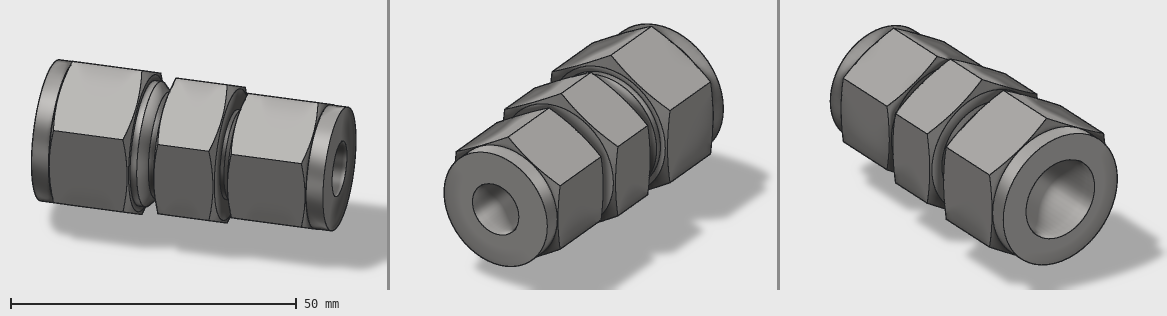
import cadquery as cq
import math

total_length = 52.5
bore_diameter = 9.8
socket_diameter = 15.0

large_nut_flats = 25.0
large_collar_diameter = large_nut_flats
large_nut_start = 3.1
large_nut_end = 17.55

body_hex_flats = 24.0
body_hex_start = 21.95
body_hex_end = 32.95

small_nut_flats = 22.0
small_collar_diameter = 21.9
small_nut_start = 35.05
small_nut_end = 49.4

large_shoulder_diameter = 22.2
large_shoulder_end = 18.75
large_neck_diameter = 18.9
small_neck_diameter = 15.9
small_neck_end = 33.7

socket_depth = body_hex_start

corner_chamfer_angle = 21.5

end_face_ratio = 0.97


def cylinder(start, end, diameter):
    """Round bar along X."""
    return cq.Workplane("YZ", origin=(start, 0, 0)).circle(diameter / 2).extrude(end - start)


def revolve_profile(points):
    """Turn an (x, radius) outline about the X axis."""
    return cq.Workplane("XY").polyline(points).close().revolve(360, (0, 0, 0), (1, 0, 0))


def cone(start, end, start_diameter, end_diameter):
    """Tapered bar along X."""
    return revolve_profile([
        (start, 0),
        (start, start_diameter / 2),
        (end, end_diameter / 2),
        (end, 0),
    ])


def chamfered_hexagon(start, end, flats):
    """Hexagonal bar along X, corners up and down, with conical chamfers on both ends."""
    corner_radius = flats / math.sqrt(3)
    face_radius = end_face_ratio * flats / 2
    chamfer_length = (corner_radius - face_radius) * math.tan(math.radians(corner_chamfer_angle))
    prism = (
        cq.Workplane("YZ", origin=(start, 0, 0))
        .polygon(6, 2 * corner_radius)
        .extrude(end - start)
        .rotate((0, 0, 0), (1, 0, 0), 90)
    )
    envelope = revolve_profile([
        (start, 0),
        (start, face_radius),
        (start + chamfer_length, corner_radius),
        (end - chamfer_length, corner_radius),
        (end, face_radius),
        (end, 0),
    ])
    return prism.intersect(envelope)


large_nut = chamfered_hexagon(large_nut_start, large_nut_end, large_nut_flats)
body_hex = chamfered_hexagon(body_hex_start, body_hex_end, body_hex_flats)
small_nut = chamfered_hexagon(small_nut_start, small_nut_end, small_nut_flats)

large_collar = cylinder(0, large_nut_start, large_collar_diameter)
small_collar = cylinder(small_nut_end, total_length, small_collar_diameter)

large_taper_end = large_shoulder_end + (large_shoulder_diameter - large_neck_diameter) / 2
large_shoulder = cylinder(large_nut_end, large_shoulder_end, large_shoulder_diameter)
large_taper = cone(large_shoulder_end, large_taper_end, large_shoulder_diameter, large_neck_diameter)
large_neck = cylinder(large_taper_end, body_hex_start, large_neck_diameter)

small_taper_diameter = small_neck_diameter + 2 * (small_nut_start - small_neck_end)
small_neck = cylinder(body_hex_end, small_neck_end, small_neck_diameter)
small_taper = cone(small_neck_end, small_nut_start, small_neck_diameter, small_taper_diameter)

fitting = large_collar
for section in (
    large_nut,
    large_shoulder,
    large_taper,
    large_neck,
    body_hex,
    small_neck,
    small_taper,
    small_nut,
    small_collar,
):
    fitting = fitting.union(section)

bore = cylinder(0, total_length, bore_diameter)
socket = cylinder(0, socket_depth, socket_diameter)
result = fitting.cut(bore).cut(socket).translate((-total_length / 2, 0, 0))